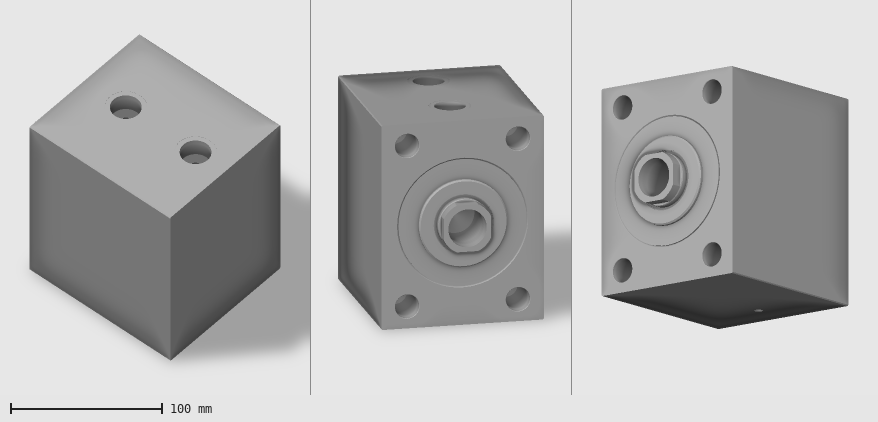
import cadquery as cq
import math


BLOCK_LENGTH = 123.0
BLOCK_WIDTH = 110.0
BLOCK_HEIGHT = 140.0
EDGE_CHAMFER = 0.7
DRILL_POINT_ANGLE = 118.0

MOUNT_DIAMETER = 16.2
MOUNT_DEPTH = 35.0
MOUNT_CHAMFER = 0.3
MOUNT_PITCH_Y = 75.0
MOUNT_PITCH_Z = 110.0

FRONT_PORT_X = 36.0
REAR_PORT_X = 97.0
SPOTFACE_DIAMETER = 28.0
SPOTFACE_DEPTH = 0.1
PORT_DIAMETER = 21.0
PORT_DEPTH = 13.5
OIL_HOLE_DIAMETER = 6.0

GLAND_DIAMETER = 86.8
GLAND_DEPTH = 44.8
GLAND_SEAT_CHAMFER = 1.0
BOSS_DIAMETER = 60.0
BOSS_LENGTH = 3.0
BOSS_CHAMFER = 1.0
WIPER_STEP_DIAMETER = 40.6
WIPER_STEP_DEPTH = 0.7
WIPER_RECESS_DIAMETER = 39.5
WIPER_RECESS_DEPTH = 1.4

ROD_DIAMETER = 36.0
ROD_PROTRUSION = 14.0
NOSE_DIAMETER = 35.1
NOSE_LENGTH = 7.5
SHOULDER_CHAMFER_LENGTH = 0.8
ACROSS_FLATS = 32.0
ROD_BORE_DIAMETER = 25.9
ROD_BORE_DEPTH = 35.0


def x_cylinder(diameter, x_start, x_end):
    """Cylinder on the X axis between two stations."""
    return cq.Workplane("YZ", origin=(x_start, 0, 0)).circle(diameter / 2).extrude(x_end - x_start)


def drilled_hole(diameter, depth, x_start):
    """Cutter along +X with a conical drill point beyond the full-diameter depth."""
    radius = diameter / 2
    point_length = radius / math.tan(math.radians(DRILL_POINT_ANGLE / 2))
    return (
        cq.Workplane("XY")
        .moveTo(x_start, 0)
        .lineTo(x_start, radius)
        .lineTo(x_start + depth, radius)
        .lineTo(x_start + depth + point_length, 0)
        .close()
        .revolve(360, (0, 0, 0), (1, 0, 0))
    )


def port_cutter(x, oil_hole_end_z):
    """Spotface, threaded port and oil hole, going down from the top face."""
    top = cq.Workplane("XY", origin=(x, 0, BLOCK_HEIGHT / 2))
    spotface = top.circle(SPOTFACE_DIAMETER / 2).extrude(-SPOTFACE_DEPTH)
    port = top.circle(PORT_DIAMETER / 2).extrude(-PORT_DEPTH)
    oil_hole = top.circle(OIL_HOLE_DIAMETER / 2).extrude(oil_hole_end_z - BLOCK_HEIGHT / 2)
    return spotface.union(port).union(oil_hole)


def make_block():
    block = (
        cq.Workplane("XY")
        .box(BLOCK_LENGTH, BLOCK_WIDTH, BLOCK_HEIGHT, centered=(False, True, True))
        .edges("|X")
        .chamfer(EDGE_CHAMFER)
    )

    block = block.cut(x_cylinder(GLAND_DIAMETER, 0, GLAND_DEPTH))
    block = block.faces("<X").edges("%CIRCLE").chamfer(GLAND_SEAT_CHAMFER)

    mount = drilled_hole(MOUNT_DIAMETER, MOUNT_DEPTH, 0)
    for y in (-MOUNT_PITCH_Y / 2, MOUNT_PITCH_Y / 2):
        for z in (-MOUNT_PITCH_Z / 2, MOUNT_PITCH_Z / 2):
            block = block.cut(mount.translate((0, y, z)))
    block = block.faces("<X").edges(cq.selectors.RadiusNthSelector(0)).chamfer(MOUNT_CHAMFER)

    block = block.cut(port_cutter(FRONT_PORT_X, 0))
    return block.cut(port_cutter(REAR_PORT_X, -BLOCK_HEIGHT / 2))


def make_gland():
    plug = x_cylinder(GLAND_DIAMETER, 0, GLAND_DEPTH)
    boss = x_cylinder(BOSS_DIAMETER, -BOSS_LENGTH, 0).faces("<X").chamfer(BOSS_CHAMFER)
    wiper_step = x_cylinder(WIPER_STEP_DIAMETER, -BOSS_LENGTH, WIPER_STEP_DEPTH - BOSS_LENGTH)
    wiper_recess = x_cylinder(WIPER_RECESS_DIAMETER, -BOSS_LENGTH, WIPER_RECESS_DEPTH - BOSS_LENGTH)
    rod_guide = x_cylinder(ROD_DIAMETER, -BOSS_LENGTH, GLAND_DEPTH)
    return plug.union(boss).cut(wiper_step).cut(wiper_recess).cut(rod_guide)


def make_rod():
    nose_start = -ROD_PROTRUSION
    shoulder = nose_start + NOSE_LENGTH
    cone_end = shoulder + SHOULDER_CHAMFER_LENGTH

    shank = x_cylinder(ROD_DIAMETER, cone_end, GLAND_DEPTH)
    cone = (
        cq.Workplane("YZ", origin=(shoulder, 0, 0))
        .circle(NOSE_DIAMETER / 2)
        .workplane(offset=SHOULDER_CHAMFER_LENGTH)
        .circle(ROD_DIAMETER / 2)
        .loft()
    )

    nose_plane = cq.Workplane("YZ", origin=(nose_start, 0, 0))
    flats = nose_plane.rect(ACROSS_FLATS, ACROSS_FLATS).extrude(NOSE_LENGTH)
    nose = x_cylinder(NOSE_DIAMETER, nose_start, shoulder).intersect(flats)

    return shank.union(cone).union(nose).cut(drilled_hole(ROD_BORE_DIAMETER, ROD_BORE_DEPTH, nose_start))


block = make_block()
gland = make_gland()
rod = make_rod()

result = cq.Compound.makeCompound([block.val(), gland.val(), rod.val()])